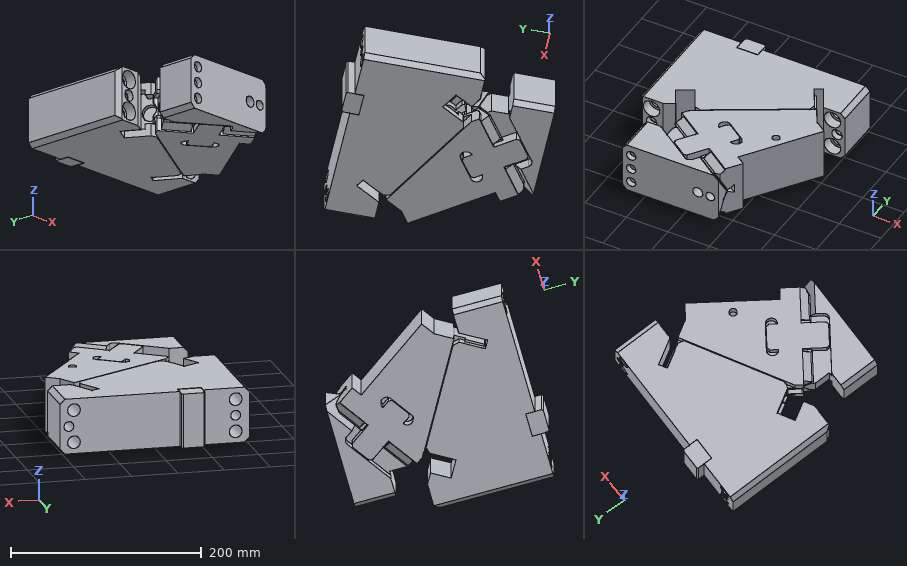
import cadquery as cq
import math

WIDTH = 60.0
HALF = WIDTH / 2
FAR = 219.0
BLOCK_CHAMFER = 5.3
BASE_CHAMFER = 5.3

CAM_ANGLE = 30.0
BASE_ANGLE = -35.0

BLOCK_LENGTH = 205.0
BLOCK_TOP = 210.0
LEFT_FOOT_Y = 80.0
RIGHT_FOOT_Y = 156.1
FOOT_CHAMFER_X = 4.2
FOOT_CHAMFER_Y = 6.1
BLOCK_LEFT_A = 98.8
BLOCK_RIGHT_A = 223.8
BLOCK_FACE_C = 43.4
BLOCK_CORNER = 5.0
NOTCH_TOP_C = 77.0
LEFT_NOTCH_A = 78.5
RIGHT_NOTCH_A = 233.5
LEFT_FOOT_C = 54.8

BOLT_X = 15.1
BOLT_Z = 17.5
BOLT_R = 6.8
BOLT_HEAD_R = 9.9
BOLT_HEAD_DEPTH = 12.5
DOWEL_R = 5.3
DOWEL_ENTRY_R = 6.1
DOWEL_ENTRY_DEPTH = 7.2
RIGHT_DOWEL_X = 195.3

KEY_X = 50.2
KEY_WIDTH = 25.2
KEY_FRONT_Y = 200.2
KEY_TIP_Y = 219.0
KEY_HALF = 29.5
KEY_CHAMFER = 1.5

RAIL_STEM_Z = 16.2
RAIL_HEAD_Z = 22.0
RAIL_HEAD_C = 54.8
RAIL_TOP_C = 75.8
RAIL_LEFT_A = 111.7
SHELF_TOP_C = 47.0
SPRING_C = 52.0
SPRING_R = 9.0
SPRING_END_A = 118.3

SLIDER_TOP_C = 42.5
SLIDER_RIGHT_A = 226.2
SLIDER_LEFT_S = 0.7
SLIDER_UNDER_T = 92.9
LEG_LEFT_S = 5.3
LEG_RIGHT_S = 105.8
LEG_ROOT_T = 98.5
LEG_BEVEL_T = 84.0
LEG_BEVEL_Z = 23.0
LEG_TIP_T = 82.5
LEG_TIP_Z = 22.1
LEG_INNER_T = 84.3
END_RECESS_Z = 12.3
END_RECESS_MOUTH_Z = 16.0
END_RECESS_MOUTH_T = 94.8
RELIEF_FLOOR_T = 103.5
RELIEF_FLOOR_Z = 4.8
LEG_SHOULDER_Z = 28.5
LEG_END_CHAMFER_S = 8.3
LEG_END_CHAMFER_T = 4.5
STEP_S = 93.5
STEP_T = 113.9
NOSE_T = 214.0
NOSE_S = 76.6
PIN_HOLE = (160.7, 87.4)
PIN_HOLE_R = 4.2
PIN_HOLE_DEPTH = 17.5
PIN_HOLE_TIP = 2.5

V_ANGLE = 60.0
V_RISE = 1 / math.tan(math.radians(V_ANGLE))
GROOVE_APEX_T = 95.7
GROOVE_FLAT_Z = 1.0
RIDGE_GAP = 1.5
RIDGE_APEX_T = GROOVE_APEX_T - RIDGE_GAP

TONGUE_LEFT_S = 39.6
TONGUE_RIGHT_S = 67.2
TONGUE_BOTTOM_T = 64.2
TONGUE_TOP_T = 129.9
TONGUE_CHAMFER = 2.6
TONGUE_FLOOR_Z = 16.6
RELIEF_R = 6.4
RELIEF_T = 124.2
LEG_GAP_LEFT_S = 37.2
LEG_GAP_RIGHT_S = 71.2

BASE_LEFT = 25.0
BASE_RIGHT = 140.4
BASE_STEP_X = 50.2
BASE_STEP_Y = 45.0
BASE_END_S = 4.8
POCKET_WALL_T = 63.0
POCKET_RIGHT_S = 76.5
POCKET_CORNER_R = 6.0
BASE_BOLT_X = 35.5
BASE_BOLT_R = 5.5
BASE_BOLT_DEPTH = 6.5
BASE_BOLT_Z = (-BOLT_Z, 0, BOLT_Z)
CROSS_HOLES = ((115.6, 6.0), (130.5, 5.3))


def turned(angle, along, across):
    """XY point from distances along and across a direction at the given angle."""
    c = math.cos(math.radians(angle))
    s = math.sin(math.radians(angle))
    return (along * c - across * s, along * s + across * c)


def cam(a, c):
    return turned(CAM_ANGLE, a, c)


def way(s, t):
    return turned(BASE_ANGLE, s, t)


def slab(points, low, high):
    """Solid between two Z levels over a closed outline of XY points."""
    return cq.Workplane("XY").workplane(offset=low).polyline(points).close().extrude(high - low)


def cam_box(a0, a1, c0, c1, half):
    return slab([cam(a0, c0), cam(a1, c0), cam(a1, c1), cam(a0, c1)], -half, half)


def way_box(s0, s1, t0, t1, low, high):
    return slab([way(s0, t0), way(s1, t0), way(s1, t1), way(s0, t1)], low, high)


def way_sketch(s):
    """Workplane across the base direction, with local axes (t, -z)."""
    return cq.Workplane(
        cq.Plane(origin=(*way(s, 0), 0), xDir=(*way(0, 1), 0), normal=(*way(1, 0), 0))
    )


def way_profile(half_profile, s0, s1):
    """Solid along the base direction; its (t, z) section is mirrored about Z = 0."""
    section = half_profile + [(t, -z) for t, z in reversed(half_profile)]
    return way_sketch(s0).polyline(section).close().extrude(s1 - s0)


def hole_y(x, z, radius, y0, y1):
    """Cylinder along Y between two Y positions."""
    start = cq.Vector(x, y0, z)
    return cq.Workplane(cq.Solid.makeCylinder(radius, y1 - y0, start, cq.Vector(0, 1, 0)))


def spring_bore():
    """Blind bore along the cam direction, open at the left end of the rail."""
    start = cq.Vector(*cam(0, SPRING_C), 0)
    direction = cq.Vector(*cam(1, 0), 0)
    return cq.Workplane(cq.Solid.makeCylinder(SPRING_R, SPRING_END_A, start, direction))


def both_faces(shape):
    return shape.union(shape.mirror("XY"))


def edge_chamfered(x0, x1, size):
    """Bar of full thickness along Y, with its four long edges chamfered."""
    return (
        cq.Workplane("XZ")
        .center((x0 + x1) / 2, 0)
        .rect(x1 - x0, WIDTH)
        .extrude(FAR * 2, both=True)
        .edges("|Y")
        .chamfer(size)
    )


def key_box(back_y, half):
    """Box of the key's width, from the key's front face to the given Y."""
    corners = [
        (KEY_X, KEY_FRONT_Y),
        (KEY_X + KEY_WIDTH, KEY_FRONT_Y),
        (KEY_X + KEY_WIDTH, back_y),
        (KEY_X, back_y),
    ]
    return slab(corners, -half, half)


def make_block():
    cos_cam = math.cos(math.radians(CAM_ANGLE))
    sin_cam = math.sin(math.radians(CAM_ANGLE))
    foot_x = (LEFT_FOOT_Y * cos_cam - LEFT_FOOT_C) / sin_cam
    notch_x = (RIGHT_NOTCH_A - RIGHT_FOOT_Y * sin_cam) / cos_cam
    outline = [
        (0, BLOCK_TOP),
        (BLOCK_LENGTH, BLOCK_TOP),
        (BLOCK_LENGTH, RIGHT_FOOT_Y),
        (notch_x, RIGHT_FOOT_Y),
        cam(RIGHT_NOTCH_A, NOTCH_TOP_C),
        cam(BLOCK_RIGHT_A, NOTCH_TOP_C),
        cam(BLOCK_RIGHT_A, BLOCK_FACE_C + BLOCK_CORNER),
        cam(BLOCK_RIGHT_A - BLOCK_CORNER, BLOCK_FACE_C),
        cam(BLOCK_LEFT_A + BLOCK_CORNER, BLOCK_FACE_C),
        cam(BLOCK_LEFT_A, BLOCK_FACE_C + BLOCK_CORNER),
        cam(BLOCK_LEFT_A, NOTCH_TOP_C),
        cam(LEFT_NOTCH_A, NOTCH_TOP_C),
        cam(LEFT_NOTCH_A, LEFT_FOOT_C),
        (foot_x, LEFT_FOOT_Y),
        (FOOT_CHAMFER_X, LEFT_FOOT_Y),
        (0, LEFT_FOOT_Y + FOOT_CHAMFER_Y),
    ]
    block = slab(outline, -HALF, HALF).intersect(edge_chamfered(0, BLOCK_LENGTH, BLOCK_CHAMFER))

    block = block.cut(cam_box(BLOCK_LEFT_A, BLOCK_RIGHT_A, 0, RAIL_HEAD_C, RAIL_STEM_Z))
    block = block.cut(cam_box(BLOCK_LEFT_A, BLOCK_RIGHT_A, RAIL_HEAD_C, RAIL_TOP_C, RAIL_HEAD_Z))

    for x, dowel_x, foot_y in (
        (BOLT_X, BOLT_X, LEFT_FOOT_Y),
        (BLOCK_LENGTH - BOLT_X, RIGHT_DOWEL_X, RIGHT_FOOT_Y),
    ):
        for z in (-BOLT_Z, BOLT_Z):
            block = block.cut(hole_y(x, z, BOLT_R, foot_y, BLOCK_TOP))
            block = block.cut(hole_y(x, z, BOLT_HEAD_R, foot_y, foot_y + BOLT_HEAD_DEPTH))
        block = block.cut(hole_y(dowel_x, 0, DOWEL_R, foot_y, BLOCK_TOP))
        block = block.cut(hole_y(dowel_x, 0, DOWEL_ENTRY_R, foot_y, foot_y + DOWEL_ENTRY_DEPTH))

    key_seat = key_box(BLOCK_TOP, HALF)
    key = key_box(KEY_TIP_Y, KEY_HALF)
    key = key.edges("|Z and >Y").chamfer(KEY_CHAMFER)
    return block.cut(key_seat).union(key)


def groove_z(t):
    """Half-width of the V-groove at a station t."""
    return GROOVE_FLAT_Z + (GROOVE_APEX_T - t) / V_RISE


def slider_rail():
    """T-rail with a low shelf at its left end and a blind spring bore."""
    stem = cam_box(RAIL_LEFT_A, SLIDER_RIGHT_A, SLIDER_TOP_C, RAIL_HEAD_C, RAIL_STEM_Z)
    head = cam_box(RAIL_LEFT_A, SLIDER_RIGHT_A, RAIL_HEAD_C, RAIL_TOP_C, RAIL_HEAD_Z)
    shelf = cam_box(0, RAIL_LEFT_A, SLIDER_TOP_C, SHELF_TOP_C, RAIL_STEM_Z)
    end_trim = way_box(SLIDER_LEFT_S, FAR, 0, FAR, -HALF, HALF)
    return stem.union(head).union(shelf.intersect(end_trim))


def slider_legs():
    """Bevelled legs that straddle the V-ridge, with a gap between them for the tongues."""
    tip_z = groove_z(LEG_INNER_T)
    legs = (
        way_sketch(LEG_LEFT_S)
        .moveTo(LEG_ROOT_T, -LEG_SHOULDER_Z)
        .lineTo(SLIDER_UNDER_T, -LEG_SHOULDER_Z)
        .lineTo(LEG_BEVEL_T, -LEG_BEVEL_Z)
        .threePointArc((LEG_TIP_T, -LEG_TIP_Z), (LEG_INNER_T, -tip_z))
        .lineTo(GROOVE_APEX_T, -GROOVE_FLAT_Z)
        .lineTo(GROOVE_APEX_T, GROOVE_FLAT_Z)
        .lineTo(LEG_INNER_T, tip_z)
        .threePointArc((LEG_TIP_T, LEG_TIP_Z), (LEG_BEVEL_T, LEG_BEVEL_Z))
        .lineTo(SLIDER_UNDER_T, LEG_SHOULDER_Z)
        .lineTo(LEG_ROOT_T, LEG_SHOULDER_Z)
        .close()
        .extrude(LEG_RIGHT_S - LEG_LEFT_S)
    )
    end_chamfer = slab(
        [
            way(LEG_RIGHT_S, LEG_TIP_T + LEG_END_CHAMFER_T),
            way(LEG_RIGHT_S, LEG_TIP_T - LEG_END_CHAMFER_T),
            way(LEG_RIGHT_S - 2 * LEG_END_CHAMFER_S, LEG_TIP_T - LEG_END_CHAMFER_T),
        ],
        -HALF, HALF,
    )
    gap = way_box(LEG_GAP_LEFT_S, LEG_GAP_RIGHT_S, 0, SLIDER_UNDER_T, LEG_BEVEL_Z, HALF)
    return legs.cut(end_chamfer).cut(both_faces(gap))


def tongue():
    """Flat tongue in the upper face, reaching down into the base pocket."""
    plate = way_box(
        TONGUE_LEFT_S, TONGUE_RIGHT_S, TONGUE_BOTTOM_T, SLIDER_UNDER_T, TONGUE_FLOOR_Z, HALF
    )
    return plate.edges("|Z and <Y or |Z and <X").chamfer(TONGUE_CHAMFER)


def tongue_relief():
    """Clearance above the tongue root: two round corners joined by a narrow gap."""
    relief = way_box(
        TONGUE_LEFT_S, TONGUE_RIGHT_S, TONGUE_TOP_T, RELIEF_T + RELIEF_R, TONGUE_FLOOR_Z, HALF
    )
    for s in (TONGUE_LEFT_S, TONGUE_RIGHT_S):
        corner = (
            cq.Workplane("XY", origin=(*way(s, RELIEF_T), TONGUE_FLOOR_Z))
            .circle(RELIEF_R)
            .extrude(HALF - TONGUE_FLOOR_Z)
        )
        relief = relief.union(corner)
    root = way_box(
        TONGUE_LEFT_S, TONGUE_RIGHT_S, SLIDER_UNDER_T, TONGUE_TOP_T, TONGUE_FLOOR_Z, HALF
    )
    return relief.cut(root.edges("|Z and >Y or |Z and >X").chamfer(TONGUE_CHAMFER))


def top_left_corner():
    """Where the slider's left end meets its cam-side face."""
    turn = math.radians(CAM_ANGLE - BASE_ANGLE)
    along = (SLIDER_LEFT_S + SLIDER_TOP_C * math.sin(turn)) / math.cos(turn)
    return cam(along, SLIDER_TOP_C)


def make_slider():
    body = slab(
        [
            way(SLIDER_LEFT_S, SLIDER_UNDER_T),
            way(LEG_RIGHT_S, SLIDER_UNDER_T),
            way(LEG_RIGHT_S, STEP_T),
            way(STEP_S, STEP_T),
            way(STEP_S, NOSE_T),
            way(NOSE_S, NOSE_T),
            cam(SLIDER_RIGHT_A, SLIDER_TOP_C),
            top_left_corner(),
        ],
        -HALF, HALF,
    )
    groove = way_profile(
        [(LEG_TIP_T, groove_z(LEG_TIP_T)), (GROOVE_APEX_T, GROOVE_FLAT_Z)], 0, FAR
    )
    relief = way_profile(
        [(GROOVE_APEX_T, GROOVE_FLAT_Z), (RELIEF_FLOOR_T, RELIEF_FLOOR_Z)], 0, FAR
    )
    recess = way_profile(
        [
            (LEG_TIP_T, END_RECESS_MOUTH_Z),
            (SLIDER_UNDER_T, END_RECESS_MOUTH_Z),
            (END_RECESS_MOUTH_T, END_RECESS_Z),
            (FAR / 2, END_RECESS_Z),
        ],
        0, LEG_LEFT_S,
    )
    pin_top = cq.Vector(*PIN_HOLE, HALF)
    down = cq.Vector(0, 0, -1)
    pin_hole = cq.Workplane(cq.Solid.makeCylinder(PIN_HOLE_R, PIN_HOLE_DEPTH, pin_top, down))
    drill_tip = cq.Workplane(
        cq.Solid.makeCone(PIN_HOLE_R, 0, PIN_HOLE_TIP, pin_top + down * PIN_HOLE_DEPTH, down)
    )
    slider = body.cut(groove).union(slider_rail()).cut(recess).union(slider_legs()).cut(relief)
    slider = slider.cut(spring_bore()).cut(pin_hole).cut(drill_tip)
    return slider.cut(both_faces(tongue_relief())).union(tongue()).union(tongue().mirror("XY"))


def make_base():
    block = slab(
        [
            (BASE_LEFT, 0),
            (BASE_RIGHT, 0),
            (BASE_RIGHT, FAR),
            (BASE_STEP_X, FAR),
            (BASE_STEP_X, BASE_STEP_Y),
            (BASE_LEFT, BASE_STEP_Y),
        ],
        -HALF, HALF,
    )
    ridge_t = RIDGE_APEX_T + GROOVE_FLAT_Z * V_RISE
    shoulder_t = ridge_t - HALF * V_RISE
    ridge = way_profile(
        [(-FAR, HALF), (shoulder_t, HALF), (RIDGE_APEX_T, GROOVE_FLAT_Z)], -FAR, FAR
    )
    end_trim = way_box(-FAR, BASE_END_S, POCKET_WALL_T, FAR, -HALF, HALF)
    pocket = way_box(-FAR, POCKET_RIGHT_S, POCKET_WALL_T, FAR, TONGUE_FLOOR_Z, HALF)
    pocket = pocket.edges("|Z and <Y").fillet(POCKET_CORNER_R)
    base = block.intersect(ridge).cut(end_trim).cut(both_faces(pocket))
    base = base.intersect(edge_chamfered(BASE_LEFT, FAR, BASE_CHAMFER))
    for z in BASE_BOLT_Z:
        base = base.cut(hole_y(BASE_BOLT_X, z, BASE_BOLT_R, 0, BASE_BOLT_DEPTH))
    for x, radius in CROSS_HOLES:
        base = base.cut(hole_y(x, 0, radius, 0, FAR))
    return base


block = make_block()
slider = make_slider()
base = make_base()

result = cq.Compound.makeCompound([block.val(), slider.val(), base.val()])